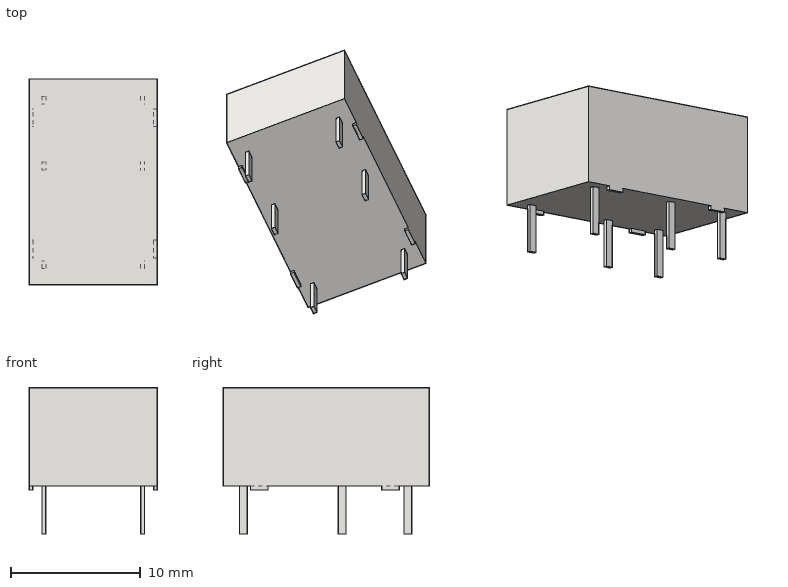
import cadquery as cq

body_width = 9.9
body_length = 15.9
total_height = 11.3
pin_drop = 3.7
body_height = total_height - pin_drop

row_spacing = 7.62
pin_thickness = 0.3
pin_width = 0.6
first_pin_y = -6.39
short_pitch = 5.07
long_pitch = 7.62
pin_ys = [first_pin_y, first_pin_y + long_pitch, first_pin_y + long_pitch + short_pitch]

foot_thickness = 0.3
foot_length = 1.37
foot_height = 0.3
foot_spacing = 10.13
foot_middle_y = -0.11
foot_ys = [foot_middle_y - foot_spacing / 2, foot_middle_y + foot_spacing / 2]


def hanging_blocks(width, length, height, xs, ys):
    """Blocks hanging from the underside of the housing at every X and Y pair."""
    centres = [(x, y) for x in xs for y in ys]
    return cq.Workplane("XY").pushPoints(centres).rect(width, length).extrude(-height)


body = cq.Workplane("XY").rect(body_width, body_length).extrude(body_height)

pin_x = row_spacing / 2
pins = hanging_blocks(pin_thickness, pin_width, pin_drop, [-pin_x, pin_x], pin_ys)

foot_x = (body_width - foot_thickness) / 2
feet = hanging_blocks(foot_thickness, foot_length, foot_height, [-foot_x, foot_x], foot_ys)

result = body.union(pins).union(feet)